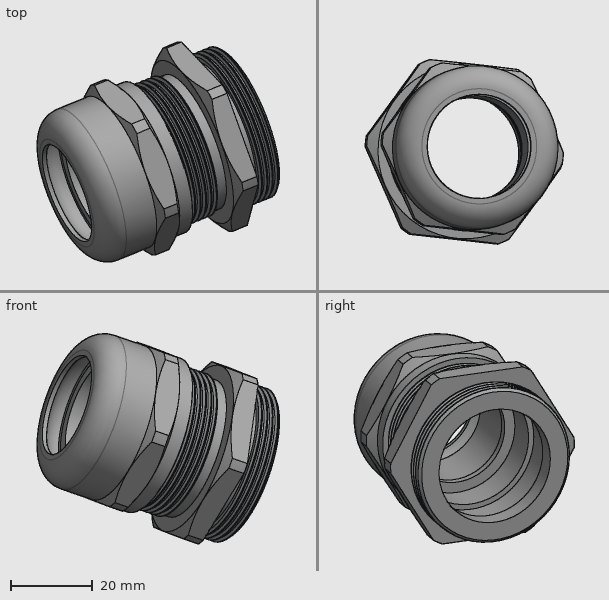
import cadquery as cq
import math


MOUTH_CENTRE = (-22.3, -10.05, 8.2)
AXIS_YAW = 22.2
AXIS_DIP = 17.8
HEX_TURN = 38.0

PITCH = 1.5
THREAD_DEPTH = 0.7
CREST_WIDTH = 0.25
FLANK_WIDTH = THREAD_DEPTH * math.tan(math.radians(30))

MOUTH_R = 12.7
NUT_R = 19.9
DOME_ROUND = 5.8
MOUTH_LAND = 1.2
NUT_LENGTH = 24.1
NUT_HEX_START = 14.2
NUT_HEX_END = 20.6
NUT_HEX_APOTHEM = 19.95
NUT_HEX_CORNER_R = 22.25
NUT_THREAD_START = 13.0
HEX_CHAMFER_SLOPE = math.tan(math.radians(30))

SEAL_START = 6.25
SEAL_END = 20.7
SEAL_BORE_R = 12.6
SEAL_R = 15.1
CAGE_R = 16.2
CAGE_END = 22.7
DOME_INNER_RADIUS = 5.3

BODY_START = NUT_THREAD_START
FRONT_THREAD_ROOT_R = 17.7
FRONT_THREAD_END = 32.2
FRONT_RIDGES = 7
BODY_HEX_START = 34.65
BODY_HEX_END = 40.35
BODY_HEX_CHAMFER_R = 21.35
BODY_HEX_APOTHEM = 21.4
BODY_HEX_CORNER_R = 24.0
BODY_END = 48.6
REAR_THREAD_ROOT_R = 19.1
REAR_RIDGES = 4
REAR_NECK_R = 17.85
REAR_CHAMFER = 0.65
THROAT_R = 15.25
THROAT_END = 32.0
CHAMBER_R = 16.6
CHAMBER_END = 43.4
OUTLET_R = 14.55

FRONT_THREAD_CREST_R = FRONT_THREAD_ROOT_R + THREAD_DEPTH


def axis_plane():
    """Plane at the mouth of the nut whose normal runs along the gland toward the outlet."""
    yaw = math.radians(AXIS_YAW)
    dip = math.radians(AXIS_DIP)
    normal = (math.cos(dip) * math.cos(yaw), math.cos(dip) * math.sin(yaw), -math.sin(dip))
    cross = (-math.sin(yaw), math.cos(yaw), 0)
    return cq.Plane(origin=MOUTH_CENTRE, xDir=cross, normal=normal)


def turned(outline):
    """Solid of revolution about the local Z axis; the outline holds (radius, station) points."""
    return outline.close().revolve(360, (0, 0, 0), (0, 1, 0))


def turned_points(points):
    return turned(cq.Workplane("XZ").polyline(points))


def cylinder(radius, start, end):
    return cq.Workplane("XY").workplane(offset=start).circle(radius).extrude(end - start)


def ridge_points(root_r, last_crest_end, count):
    """Outline points of a row of V ridges, ordered along the axis up to the last crest's end."""
    points = []
    for k in reversed(range(count)):
        crest_end = last_crest_end - k * PITCH
        crest_start = crest_end - CREST_WIDTH
        points.append((root_r, crest_start - FLANK_WIDTH))
        points.append((root_r + THREAD_DEPTH, crest_start))
        points.append((root_r + THREAD_DEPTH, crest_end))
        if k > 0:
            points.append((root_r, crest_end + FLANK_WIDTH))
    return points


def hexagon(apothem, corner_r, start, end):
    """Hexagonal prism whose corners are rounded off by a cylinder."""
    prism = (
        cq.Workplane("XY")
        .workplane(offset=start)
        .polygon(6, 2 * apothem / math.cos(math.radians(30)))
        .extrude(end - start)
        .rotate((0, 0, 0), (0, 0, 1), HEX_TURN + 30)
    )
    return prism.intersect(cylinder(corner_r, start, end))


def make_nut():
    rise = (NUT_HEX_CORNER_R - NUT_R) * HEX_CHAMFER_SLOPE
    hex_limits = turned_points([
        (0, NUT_HEX_START),
        (NUT_R, NUT_HEX_START),
        (NUT_HEX_CORNER_R, NUT_HEX_START + rise),
        (NUT_HEX_CORNER_R, NUT_HEX_END - rise),
        (NUT_R, NUT_HEX_END),
        (0, NUT_HEX_END),
    ])
    flats = hexagon(NUT_HEX_APOTHEM, NUT_HEX_CORNER_R, NUT_HEX_START, NUT_HEX_END).intersect(hex_limits)
    shell = turned(
        cq.Workplane("XZ")
        .moveTo(0, 0)
        .lineTo(NUT_R - DOME_ROUND, 0)
        .radiusArc((NUT_R, DOME_ROUND), -DOME_ROUND)
        .lineTo(NUT_R, NUT_LENGTH)
        .lineTo(0, NUT_LENGTH)
    )
    cavity = turned(
        cq.Workplane("XZ")
        .moveTo(0, 0)
        .lineTo(MOUTH_R, 0)
        .lineTo(MOUTH_R, MOUTH_LAND)
        .radiusArc((CAGE_R, SEAL_START), -DOME_INNER_RADIUS)
        .lineTo(CAGE_R, NUT_THREAD_START)
        .lineTo(FRONT_THREAD_CREST_R, NUT_THREAD_START)
        .lineTo(FRONT_THREAD_CREST_R, NUT_LENGTH)
        .lineTo(0, NUT_LENGTH)
    )
    return shell.union(flats).cut(cavity)


def make_seal():
    return cylinder(SEAL_R, SEAL_START, SEAL_END).cut(cylinder(SEAL_BORE_R, SEAL_START, SEAL_END))


def make_cage():
    """Sleeve around the seal with an inward lip behind the seal's end."""
    return turned_points([
        (SEAL_R, SEAL_START),
        (CAGE_R, SEAL_START),
        (CAGE_R, CAGE_END),
        (SEAL_BORE_R, CAGE_END),
        (SEAL_BORE_R, SEAL_END),
        (SEAL_R, SEAL_END),
    ])


def make_body():
    front = turned_points(
        [(0, BODY_START), (FRONT_THREAD_ROOT_R, BODY_START)]
        + ridge_points(FRONT_THREAD_ROOT_R, FRONT_THREAD_END - FLANK_WIDTH, FRONT_RIDGES)
        + [
            (FRONT_THREAD_ROOT_R, FRONT_THREAD_END),
            (FRONT_THREAD_ROOT_R, BODY_HEX_START),
            (0, BODY_HEX_START),
        ]
    )
    rise = (BODY_HEX_CORNER_R - BODY_HEX_CHAMFER_R) * HEX_CHAMFER_SLOPE
    hex_limits = turned_points([
        (0, BODY_HEX_START),
        (BODY_HEX_CHAMFER_R, BODY_HEX_START),
        (BODY_HEX_CORNER_R, BODY_HEX_START + rise),
        (BODY_HEX_CORNER_R, BODY_HEX_END),
        (0, BODY_HEX_END),
    ])
    flats = hexagon(BODY_HEX_APOTHEM, BODY_HEX_CORNER_R, BODY_HEX_START, BODY_HEX_END).intersect(hex_limits)
    ridges = ridge_points(REAR_THREAD_ROOT_R, BODY_END - REAR_CHAMFER, REAR_RIDGES)
    first_ridge_start = ridges[0][1]
    rear = turned_points(
        [(0, BODY_HEX_END), (REAR_NECK_R, BODY_HEX_END), (REAR_NECK_R, first_ridge_start)]
        + ridges
        + [(REAR_THREAD_ROOT_R, BODY_END), (0, BODY_END)]
    )
    passage = turned_points([
        (0, BODY_START),
        (CAGE_R, BODY_START),
        (CAGE_R, CAGE_END),
        (THROAT_R, CAGE_END),
        (THROAT_R, THROAT_END),
        (CHAMBER_R, THROAT_END),
        (CHAMBER_R, CHAMBER_END),
        (OUTLET_R, CHAMBER_END),
        (OUTLET_R, BODY_END),
        (0, BODY_END),
    ])
    return front.union(flats).union(rear).cut(passage)


placement = cq.Location(axis_plane())
nut = make_nut().val().moved(placement)
seal = make_seal().val().moved(placement)
cage = make_cage().val().moved(placement)
body = make_body().val().moved(placement)
result = cq.Compound.makeCompound([nut, seal, cage, body])